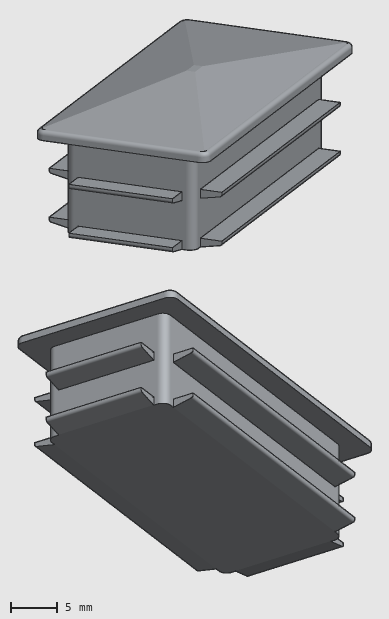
import cadquery as cq

width = 20.0
length = 40.0
height = 14.0
corner_radius = 1.0

roof_rise = 1.9
flange_thickness = 1.1
rim_fillet = corner_radius / 2
peak_width = 1.0
peak_length = 2.0
eave_z = height - roof_rise
flange_z = eave_z - flange_thickness

rib_reach = width / 8
body_width = width - 2 * rib_reach
body_length = length - 2 * rib_reach
rib_end_gap = 1.5 * corner_radius
rib_root_thickness = 1.0
rib_tip_thickness = rib_root_thickness / 2
rib_tip_fillet = 0.3
rib_embed = 0.4
rib_pitch = 5.5 * rib_root_thickness
rib_top_levels = (rib_root_thickness, rib_root_thickness + rib_pitch)


def rounded_block(size_x, size_y, size_z, radius, base_z=0):
    """Block with rounded vertical corners, standing on base_z."""
    return (
        cq.Workplane("XY", origin=(0, 0, base_z))
        .rect(size_x, size_y)
        .extrude(size_z)
        .edges("|Z")
        .fillet(radius)
    )


def make_flange():
    """Flange plate with a rounded upper rim."""
    plate = rounded_block(width, length, flange_thickness, corner_radius, flange_z)
    return plate.faces(">Z").edges().fillet(rim_fillet)


def make_roof():
    """Flat-topped hipped roof, trimmed to the flat area inside the rounded rim."""
    eave_width = width - 2 * rim_fillet
    eave_length = length - 2 * rim_fillet
    roof = (
        cq.Workplane("XY", origin=(0, 0, eave_z))
        .rect(eave_width, eave_length)
        .workplane(offset=roof_rise)
        .rect(peak_width, peak_length)
        .loft(ruled=True)
    )
    trim_radius = corner_radius - rim_fillet
    return roof.intersect(rounded_block(eave_width, eave_length, roof_rise, trim_radius, eave_z))


def make_rib(wall_distance, wall_width, top_z):
    """Tapered rib on the +X side, slightly embedded in the wall for a sound joint."""
    tip_x = wall_distance + rib_reach
    root_x = wall_distance - rib_embed
    rib_width = wall_width - 2 * rib_end_gap
    rib = (
        cq.Workplane("XZ")
        .moveTo(root_x, top_z)
        .lineTo(tip_x, top_z)
        .lineTo(tip_x, top_z - rib_tip_thickness)
        .lineTo(wall_distance, top_z - rib_root_thickness)
        .lineTo(root_x, top_z - rib_root_thickness)
        .close()
        .extrude(rib_width / 2, both=True)
    )
    return rib.edges("|Y").edges(">X").edges("<Z").fillet(rib_tip_fillet)


result = rounded_block(body_width, body_length, flange_z, corner_radius)
result = result.union(make_flange()).union(make_roof())
for top_z in rib_top_levels:
    side_rib = make_rib(body_width / 2, body_length, top_z)
    end_rib = make_rib(body_length / 2, body_width, top_z)
    for side_angle in (0, 180):
        result = result.union(side_rib.rotate((0, 0, 0), (0, 0, 1), side_angle))
        result = result.union(end_rib.rotate((0, 0, 0), (0, 0, 1), side_angle + 90))